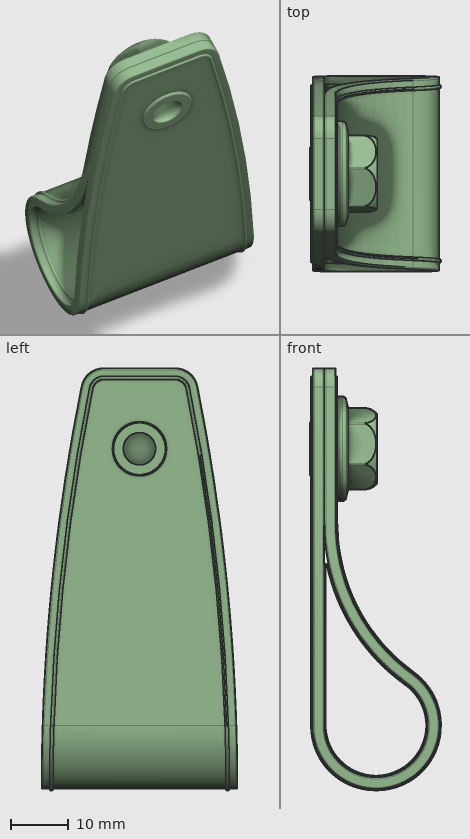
import cadquery as cq
import math


sheet_thickness = 2.0
loop_outer_radius = 11.0
loop_radius = loop_outer_radius - sheet_thickness / 2
leaf_gap = 0.02
strap_top = 62.0
blend_start = 35.0
edge_fillet = 0.25

bottom_width = 34.0
top_width = 18.8
corner_radius = 4.0
outline_margin = 2.0

bead_radius = 0.3
bead_inset = 1.7
inner_bead_top = 28.0

bolt_axis_height = 48.0
bush_diameter = 9.4
bush_bore_diameter = 5.6
bush_protrusion = 0.46
bush_chamfer = 0.2

flange_diameter = 18.2
flange_rim = 1.1
flange_rounding = 0.75
flange_rise = 0.3
head_height = 7.2
hex_corner_radius = 7.2
hex_edge_fillet = 0.25
hex_turn = -8.0
crown_depth = 2.6
crown_end_radius = 6.0

half_sheet = sheet_thickness / 2
strap_width_limit = bottom_width + 2.0
back_face = -loop_outer_radius
front_leaf_middle = -loop_radius + sheet_thickness + leaf_gap
front_face = front_leaf_middle + half_sheet

blend_radius = (front_leaf_middle**2 + blend_start**2 - loop_radius**2) / (
    2 * (loop_radius - front_leaf_middle)
)
blend_center_x = front_leaf_middle + blend_radius
blend_angle = math.atan2(blend_start, blend_center_x)


def polar(center, radius, angle):
    """Point at the given angle on a circle in a plane."""
    return (center[0] + radius * math.cos(angle), center[1] + radius * math.sin(angle))


def side_profile_block(offset, top):
    """Block filling the area enclosed by the sheet's middle line moved outward by offset."""
    radius = loop_radius + offset
    arc_radius = blend_radius - offset
    front_x = front_leaf_middle + offset
    blend_center = (blend_center_x, blend_start)
    loop_middle_angle = (math.pi + blend_angle + 2 * math.pi) / 2
    blend_middle_angle = math.pi + blend_angle / 2
    return (
        cq.Workplane("XZ")
        .moveTo(-radius, top)
        .lineTo(-radius, 0)
        .threePointArc(polar((0, 0), radius, loop_middle_angle), polar((0, 0), radius, blend_angle))
        .threePointArc(polar(blend_center, arc_radius, blend_middle_angle), (front_x, blend_start))
        .lineTo(front_x, top)
        .close()
        .extrude(strap_width_limit / 2, both=True)
    )


def outline_block(inset):
    """Tapered strap outline moved inward by inset, extruded along X through the whole strap."""
    half_bottom = bottom_width / 2
    half_top = top_width / 2
    rise = strap_top + loop_outer_radius
    narrowing = half_bottom - half_top
    side_radius = (rise**2 + narrowing**2) / (2 * narrowing)
    arc_center = (half_bottom - side_radius, -loop_outer_radius)
    radius = side_radius - inset
    top = strap_top - inset
    top_angle = math.asin((top + loop_outer_radius) / radius)
    right_middle = polar(arc_center, radius, top_angle / 2)
    right_top = polar(arc_center, radius, top_angle)
    right_bottom = polar(arc_center, radius, 0)
    floor = -loop_outer_radius - outline_margin
    return (
        cq.Workplane("YZ")
        .moveTo(right_bottom[0], floor)
        .lineTo(*right_bottom)
        .threePointArc(right_middle, right_top)
        .lineTo(-right_top[0], top)
        .threePointArc((-right_middle[0], right_middle[1]), (-right_bottom[0], right_bottom[1]))
        .lineTo(-right_bottom[0], floor)
        .close()
        .extrude(loop_outer_radius + outline_margin, both=True)
        .edges("|X and >Z")
        .fillet(corner_radius - inset)
    )


def bead_along(edges):
    """Round bead swept along a chain of edges."""
    path = cq.Wire.combine(edges)[0]
    start = cq.Plane(origin=path.positionAt(0), xDir=(1, 0, 0), normal=path.tangentAt(0))
    return cq.Workplane(start).circle(bead_radius).sweep(cq.Workplane(path))


def make_strap():
    outside = side_profile_block(half_sheet, strap_top)
    inside = side_profile_block(-half_sheet, strap_top)
    strap = outside.cut(inside).intersect(outline_block(0))
    strap = strap.edges("(not |Y) and (not |X)").fillet(edge_fillet)

    bead_outline = outline_block(bead_inset)
    outer_area = outside.intersect(bead_outline)
    outer_sides = outer_area.edges("(not |X) and (not |Y)").vals()
    outer_tops = outer_area.edges("|Y and >Z").vals()
    strap = strap.union(bead_along(outer_sides + outer_tops), clean=False)

    opening_height = (
        cq.Workplane("XY", origin=(0, 0, inner_bead_top))
        .rect(strap_width_limit, strap_width_limit)
        .extrude(-2 * inner_bead_top)
    )
    inner_area = inside.intersect(bead_outline).intersect(opening_height)
    inner_edges = inner_area.edges("(not |X) and (not |Y)").vals()
    bead_edges = [edge for edge in inner_edges if edge.Center().y > 0]
    bead_edges.sort(key=lambda edge: edge.Center().x, reverse=True)
    inner_bead = bead_along(bead_edges)
    for bead in (inner_bead, inner_bead.mirror("XZ")):
        strap = strap.union(bead, clean=False)

    bush_hole = (
        cq.Workplane("YZ", origin=(back_face - half_sheet, 0, bolt_axis_height))
        .circle(bush_diameter / 2)
        .extrude(front_face - back_face + sheet_thickness)
    )
    return strap.cut(bush_hole, clean=False)


def make_bush():
    length = front_face - back_face + bush_protrusion
    return (
        cq.Workplane("YZ", origin=(back_face - bush_protrusion, 0, bolt_axis_height))
        .circle(bush_diameter / 2)
        .circle(bush_bore_diameter / 2)
        .extrude(length)
        .faces("<X")
        .edges(cq.selectors.RadiusNthSelector(-1))
        .chamfer(bush_chamfer)
    )


def revolved_on_head(profile):
    """Turn a closed profile (axial distance, radius) about the bolt axis, seated on the front leaf."""
    return profile.revolve(360, (0, 0, 0), (1, 0, 0)).translate((front_face, 0, bolt_axis_height))


def make_head():
    flange_radius = flange_diameter / 2
    cone_start = flange_rim + flange_rounding
    cone_end = cone_start + flange_rise
    flange = revolved_on_head(
        cq.Workplane("XY")
        .lineTo(0, flange_radius)
        .lineTo(flange_rim, flange_radius)
        .tangentArcPoint((cone_start, flange_radius - flange_rounding), relative=False)
        .lineTo(cone_end, hex_corner_radius)
        .lineTo(cone_end, 0)
        .close()
    )
    crown = revolved_on_head(
        cq.Workplane("XY")
        .lineTo(0, hex_corner_radius)
        .lineTo(head_height - crown_depth, hex_corner_radius)
        .tangentArcPoint((head_height, crown_end_radius), relative=False)
        .lineTo(head_height, 0)
        .close()
    )
    hexagon = (
        cq.Workplane("YZ", origin=(front_face, 0, bolt_axis_height))
        .transformed(rotate=(0, 0, 90 + hex_turn))
        .polygon(6, 2 * hex_corner_radius)
        .extrude(head_height)
        .edges("|X")
        .fillet(hex_edge_fillet)
    )
    return flange.union(hexagon.intersect(crown))


strap = make_strap()
bush = make_bush()
head = make_head()

result = cq.Compound.makeCompound([strap.val(), bush.val(), head.val()])